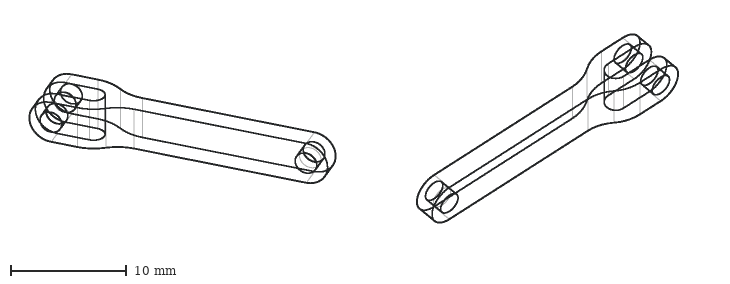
import cadquery as cq
import math

length = 27.0
height = 4.0
fork_width = 5.0
bar_width = 2.0
slot_width = 2.0
slot_depth = 6.0
hole_diameter = 2.0
blend_radius = 4.0
blend_middle_x = 6.78

end_radius = height / 2
hole_positions = (end_radius, length - end_radius)

arc_drop = (fork_width - bar_width) / 4
arc_run = math.sqrt(2 * blend_radius * arc_drop - arc_drop**2)
blend_start_x = blend_middle_x - arc_run
blend_end_x = blend_middle_x + arc_run
blend_middle_y = fork_width / 2 - arc_drop


def make_plan_body():
    """Forked bar outline in XY, extruded to the full height."""
    return (
        cq.Workplane("XY")
        .workplane(offset=-height / 2)
        .moveTo(0, fork_width / 2)
        .lineTo(blend_start_x, fork_width / 2)
        .radiusArc((blend_middle_x, blend_middle_y), blend_radius)
        .radiusArc((blend_end_x, bar_width / 2), -blend_radius)
        .lineTo(length, bar_width / 2)
        .lineTo(length, -bar_width / 2)
        .lineTo(blend_end_x, -bar_width / 2)
        .radiusArc((blend_middle_x, -blend_middle_y), -blend_radius)
        .radiusArc((blend_start_x, -fork_width / 2), blend_radius)
        .lineTo(0, -fork_width / 2)
        .close()
        .extrude(height)
    )


def make_side_profile():
    """Round-ended link shape in XZ, spanning the fork width."""
    return (
        cq.Workplane("XZ")
        .center(length / 2, 0)
        .slot2D(length, height)
        .extrude(fork_width / 2, both=True)
    )


def make_fork_slot():
    """Round-bottomed slot that opens at the fork end."""
    straight_depth = slot_depth - slot_width / 2
    return (
        cq.Workplane("XY")
        .workplane(offset=-height / 2)
        .moveTo(0, slot_width / 2)
        .lineTo(straight_depth, slot_width / 2)
        .threePointArc((slot_depth, 0), (straight_depth, -slot_width / 2))
        .lineTo(0, -slot_width / 2)
        .close()
        .extrude(height)
    )


def make_pin_holes():
    """Cross holes through the fork and the bar end."""
    return (
        cq.Workplane("XZ")
        .pushPoints([(x, 0) for x in hole_positions])
        .circle(hole_diameter / 2)
        .extrude(fork_width / 2, both=True)
    )


result = make_plan_body().intersect(make_side_profile()).cut(make_fork_slot()).cut(make_pin_holes())